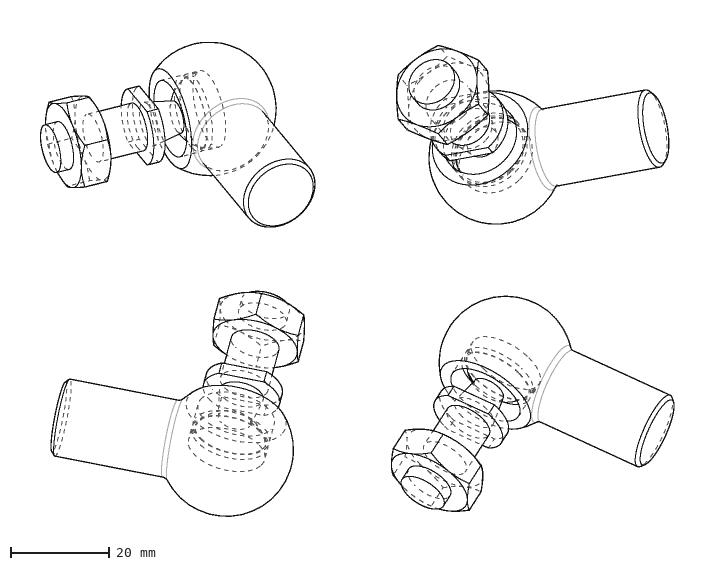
import cadquery as cq
import math

overall_x = 48.6
overall_y = 49.6
housing_radius = 27.2 / 2
ball_radius = 16.0 / 2

mouth_depth = 8.75
shank_radius = 16.0 / 2
shank_end = overall_x - housing_radius
shank_chamfer = 0.75
shank_blend = 1.5
retainer_depth = 3.55
retainer_wire_radius = 0.6

neck_mouth_radius = 3.65
collar_front = 13.55
neck_collar_radius = 4.55
collar_thickness = 2.55
collar_radius = 16.0 / 2
collar_flats = 13.0
stud_radius = 10.0 / 2
stud_end = overall_y - housing_radius
tip_height = 0.5

nut_start = 26.0
nut_thickness = 6.65
nut_flats = 17.6
nut_chamfer_angle = 30.0


def stud_cylinder(radius, start, length):
    """Cylinder on the stud axis, from a distance below the ball centre."""
    return cq.Workplane("XZ", origin=(0, -start, 0)).circle(radius).extrude(length)


def make_housing():
    """Spherical housing with a blended, chamfered shank and a ball socket with a retaining ring."""
    blend_x = math.sqrt((housing_radius + shank_blend) ** 2 - (shank_radius + shank_blend) ** 2)
    blend_y = shank_radius + shank_blend
    sphere_share = housing_radius / (housing_radius + shank_blend)
    tangent = (blend_x * sphere_share, blend_y * sphere_share)
    start_angle = math.atan2(-blend_y, -blend_x)
    mid_angle = (start_angle - math.pi / 2) / 2
    blend_mid = (
        blend_x + shank_blend * math.cos(mid_angle),
        blend_y + shank_blend * math.sin(mid_angle),
    )
    body = (
        cq.Workplane("XY")
        .moveTo(-housing_radius, 0)
        .threePointArc((0, housing_radius), tangent)
        .threePointArc(blend_mid, (blend_x, shank_radius))
        .lineTo(shank_end - shank_chamfer, shank_radius)
        .lineTo(shank_end, shank_radius - shank_chamfer)
        .lineTo(shank_end, 0)
        .close()
        .revolve(360, (0, 0, 0), (1, 0, 0))
    )
    waste = stud_cylinder(housing_radius, mouth_depth, housing_radius)
    socket = stud_cylinder(ball_radius, 0, mouth_depth)
    retainer = (
        cq.Workplane("XY")
        .center(ball_radius, -retainer_depth)
        .circle(retainer_wire_radius)
        .revolve(360, (-ball_radius, 0, 0), (-ball_radius, 1, 0))
    )
    return body.cut(waste).cut(socket).union(retainer)


def make_stud():
    """Ball, tapered neck, collar with two wrench flats and a cone-tipped pin."""
    ball = cq.Workplane("XY").sphere(ball_radius)
    taper = (neck_collar_radius - neck_mouth_radius) / (collar_front - mouth_depth)
    neck_root_radius = neck_collar_radius - taper * collar_front
    pin_profile = (
        cq.Workplane("XY")
        .lineTo(neck_root_radius, 0)
        .lineTo(neck_collar_radius, -collar_front)
        .lineTo(stud_radius, -collar_front)
        .lineTo(stud_radius, -(stud_end - tip_height))
        .lineTo(0, -stud_end)
        .close()
    )
    pin = pin_profile.revolve(360, (0, 0, 0), (0, 1, 0))
    flats = cq.Workplane("XY").box(2 * collar_radius, 2 * overall_y, collar_flats)
    collar = stud_cylinder(collar_radius, collar_front, collar_thickness).intersect(flats)
    return ball.union(pin).union(collar)


def make_nut():
    """Hexagon nut with corners pointing along Z, chamfered on both faces."""
    corner_radius = nut_flats / math.sqrt(3)
    chamfer_height = (corner_radius - nut_flats / 2) * math.tan(math.radians(nut_chamfer_angle))
    hexagon = (
        cq.Workplane("XZ", origin=(0, -nut_start, 0))
        .transformed(rotate=(0, 0, 90))
        .polygon(6, 2 * corner_radius)
        .extrude(nut_thickness)
    )
    nut_end = nut_start + nut_thickness
    envelope = (
        cq.Workplane("XY")
        .moveTo(0, -nut_start)
        .lineTo(nut_flats / 2, -nut_start)
        .lineTo(corner_radius, -(nut_start + chamfer_height))
        .lineTo(corner_radius, -(nut_end - chamfer_height))
        .lineTo(nut_flats / 2, -nut_end)
        .lineTo(0, -nut_end)
        .close()
        .revolve(360, (0, 0, 0), (0, 1, 0))
    )
    return hexagon.intersect(envelope)


result = make_housing().union(make_stud()).union(make_nut())